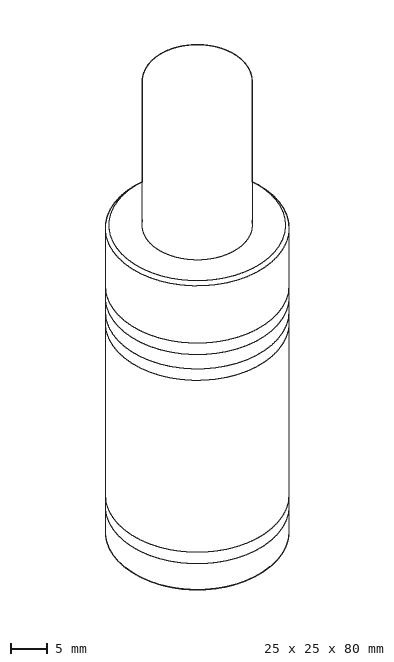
import cadquery as cq

body_diameter = 25.0
body_height = 54.0
rod_diameter = 15.0
total_height = 80.0
body_top_chamfer = 0.5
body_bottom_chamfer = 0.5
rod_top_fillet = 1.0
groove_radius = 1.0
groove_heights = (6.0, 38.0, 42.5)

body_radius = body_diameter / 2
rod_length = total_height - body_height


def make_body():
    """Cylinder body with a chamfer on both end edges."""
    body = cq.Workplane("XY").circle(body_radius).extrude(body_height)
    body = body.faces(">Z").chamfer(body_top_chamfer)
    return body.faces("<Z").chamfer(body_bottom_chamfer)


def make_rod():
    """Piston rod standing on the body, rounded at its free end."""
    rod = cq.Workplane("XY").workplane(offset=body_height).circle(rod_diameter / 2).extrude(rod_length)
    return rod.faces(">Z").edges().fillet(rod_top_fillet)


def make_groove_cutter(height):
    """Ring of round section centred on the body surface, leaving a half-round groove."""
    return cq.Workplane(cq.Solid.makeTorus(body_radius, groove_radius, cq.Vector(0, 0, height)))


result = make_body().union(make_rod())
for groove_height in groove_heights:
    result = result.cut(make_groove_cutter(groove_height))